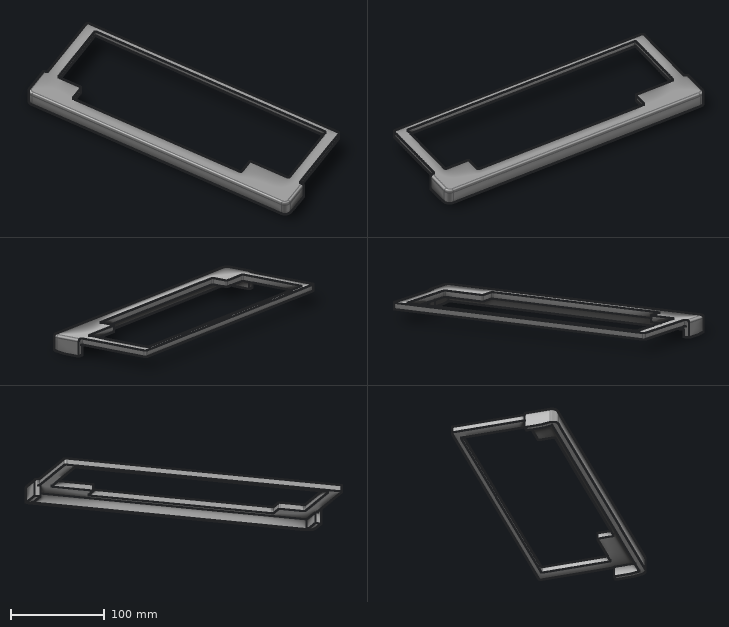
import cadquery as cq

LENGTH = 325.7
DEPTH = 120.0
HEIGHT = 19.2

PLATE_THICKNESS = 7.2
FRAME_INSET = 5.2
SIDE_BAR = 13.7
REAR_BAR = 6.5
FRONT_BAR = 16.5
FRAME_CORNER_RADIUS = 2.55
SMALL_CORNER_RADIUS = 1.27

HOUSING_DEPTH = 35.5
LEFT_PAD_LENGTH = 48.2
RIGHT_PAD_LENGTH = 67.0
SKIRT_THICKNESS = 7.0
HOUSING_CORNER_RADIUS = 7.2
TOP_EDGE_RADIUS = 3.0

BEVEL_DEPTH = 16.3
BEVEL_RISE = 2.0

FRONT_Y = -DEPTH / 2
REAR_Y = DEPTH / 2
HOUSING_REAR_Y = FRONT_Y + HOUSING_DEPTH
TOP_Z = HEIGHT / 2
BOTTOM_Z = -HEIGHT / 2
PLATE_BOTTOM_Z = TOP_Z - PLATE_THICKNESS


def block(length, y_min, y_max, z_min, z_max):
    """Box centred on X between the given Y and Z limits."""
    return cq.Workplane("XY").box(length, y_max - y_min, z_max - z_min).translate(
        (0, (y_min + y_max) / 2, (z_min + z_max) / 2)
    )


def make_housing():
    """Rounded front housing, open underneath and at the rear."""
    housing = block(LENGTH, FRONT_Y, HOUSING_REAR_Y, BOTTOM_Z, TOP_Z)
    housing = housing.edges("|Z and <Y").fillet(HOUSING_CORNER_RADIUS)
    housing = housing.faces(">Z").edges("not >Y").fillet(TOP_EDGE_RADIUS)
    hollow = block(
        LENGTH - 2 * SKIRT_THICKNESS,
        FRONT_Y + SKIRT_THICKNESS,
        HOUSING_REAR_Y,
        BOTTOM_Z,
        PLATE_BOTTOM_Z,
    )
    bevel = (
        cq.Workplane("YZ")
        .moveTo(FRONT_Y, BOTTOM_Z)
        .lineTo(FRONT_Y + BEVEL_DEPTH, BOTTOM_Z)
        .lineTo(FRONT_Y, BOTTOM_Z + BEVEL_RISE)
        .close()
        .extrude(LENGTH / 2, both=True)
    )
    return housing.cut(hollow).cut(bevel)


def make_frame():
    """Plate reaching back from the housing, with rounded rear corners."""
    frame_length = LENGTH - 2 * FRAME_INSET
    front_y = FRONT_Y + FRONT_BAR
    frame = block(frame_length, front_y, REAR_Y, PLATE_BOTTOM_Z, TOP_Z)
    return frame.edges("|Z and >Y").fillet(FRAME_CORNER_RADIUS)


def make_window():
    """Opening through the frame, with a narrower recess between the pads."""
    window_length = LENGTH - 2 * (FRAME_INSET + SIDE_BAR)
    window = block(window_length, HOUSING_REAR_Y, REAR_Y - REAR_BAR, PLATE_BOTTOM_Z, TOP_Z)
    recess_length = LENGTH - LEFT_PAD_LENGTH - RIGHT_PAD_LENGTH
    recess_shift = (LEFT_PAD_LENGTH - RIGHT_PAD_LENGTH) / 2
    recess = block(recess_length, FRONT_Y + FRONT_BAR, HOUSING_REAR_Y, PLATE_BOTTOM_Z, TOP_Z)
    recess = recess.translate((recess_shift, 0, 0))
    return window.union(recess).edges("|Z").fillet(SMALL_CORNER_RADIUS)


def make_body():
    """Housing and frame joined, with small rounds in the corners between them."""
    body = make_housing().union(make_frame())
    joint_x = LENGTH / 2 - FRAME_INSET
    for side in (-1, 1):
        joint = cq.selectors.NearestToPointSelector(
            (side * joint_x, HOUSING_REAR_Y, TOP_Z - PLATE_THICKNESS / 2)
        )
        body = body.edges("|Z").edges(joint).fillet(SMALL_CORNER_RADIUS)
    return body


result = make_body().cut(make_window())